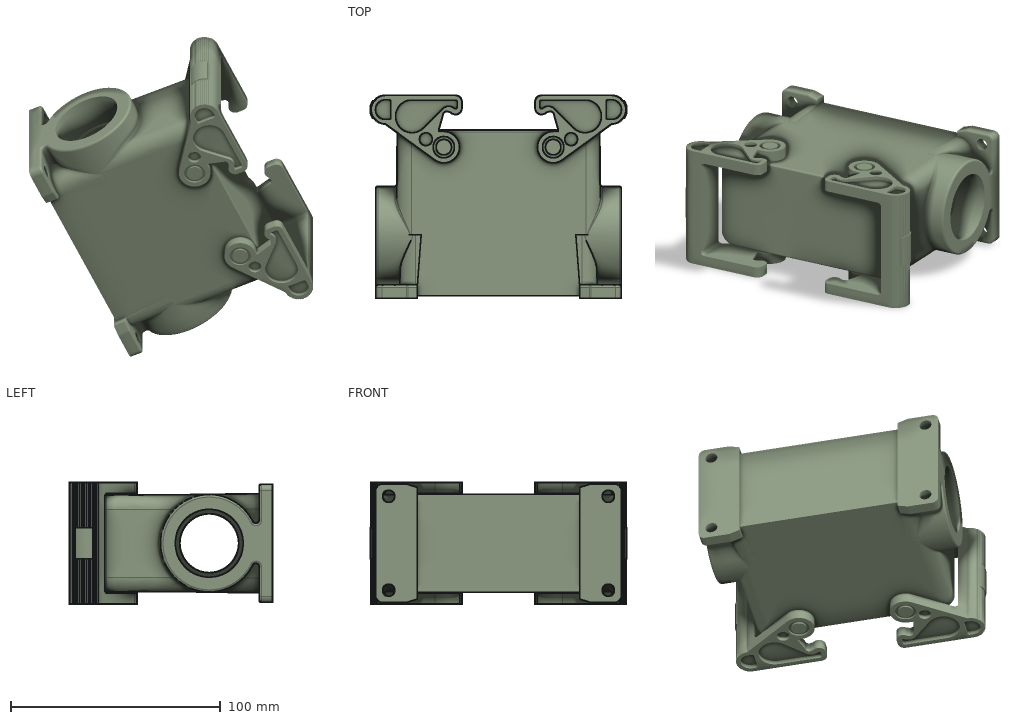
import cadquery as cq
import math


DIAGONAL = math.sqrt(0.5)

BODY_FRONT_Y = 1.2
RIM_Y = 80.3
BODY_HALF_X = 48.8
BODY_HALF_Z = 23.45
BODY_CORNER = 7.2
BODY_DRAFT = 0.3
RIM_ROUND = 0.9

ENTRY_Y = 30.2
ENTRY_FACE_X = 58.6
ENTRY_RADIUS = 23.25
BORE_RADIUS = 16.2
BORE_BOTTOM_X = 43.0
PASSAGE_RADIUS = 14.0
NOTCH_RADIUS = 1.6
OUTER_ROUND = 1.1
ROOT_ROUND = 1.0

FOOT_THICKNESS = 6.4
FOOT_INNER_X = 38.7
FOOT_HALF_Z = 28.2
FOOT_CORNER = 3.0
FOOT_BEVEL_X = 5.0
FOOT_BEVEL_Z = 1.6
FOOT_BEVEL_ROUND = 2.5
HOLE_X = 52.4
HOLE_Z = 22.4
HOLE_DIAMETER = 5.8

POST_OUTER_X = 47.1
POST_HALF_Z = 23.75
POST_DRAFT = 0.7
POST_CORNER = 7.4
POST_TOP_INNER_X = 36.9
MIDDLE_HALF_X = 39.2

LEVER_HALF_Z = 29.0
LEVER_PLATE = 5.2
WINDOW_X = 49.9
WINDOW_CORNER = 2.0
PIVOT_X = 26.1
PIVOT_Y = 72.1
PIVOT_RADIUS = 7.5
PIN_RADIUS = 3.7
PIN_EMBED = 3.0
PIN_RECESS_RADIUS = 5.1
PIN_RECESS_DEPTH = 1.0
GRIP_X = 54.0
GRIP_Y = 90.0
GRIP_RADIUS = 6.9
GRIP_POCKET_RADIUS = 4.7
GRIP_POCKET_INNER = 2.65
GRIP_POCKET_CORNER = 1.0
ROUND_HOLE_X = 34.65
ROUND_HOLE_Y = 75.9
ROUND_HOLE_RADIUS = 3.05
POCKET_DEPTH = 2.2
POCKET_X = 41.3
POCKET_Y = 86.8
POCKET_RADIUS = 7.8
POCKET_SLOPE_LENGTH = 12.2
POCKET_TIP_X = 19.8
POCKET_TIP_Y = 91.2
POCKET_TIP_ROUND = 0.6
POCKET_TIP_END = (-20.9, 90.5)
POCKET_BEND = (-24.2, 91.6)

HOOK_TIP_X = 17.4
HOOK_TIP_ROUND = 3.2
HOOK_NOSE_Y = 90.6
HOOK_NOSE_RADIUS = 2.7
HOOK_NOSE_INNER = (-22.8, 88.6)
THROAT_ROOT = (-28.4, 80.6)
THROAT_SIDE = (-26.5, 87.2)
THROAT_BEND = (-25.8, 88.7)
THROAT_TOP = (-24.3, 89.1)

FLUTE_COUNT = 21
FLUTE_STEP = 7.6
FLUTE_DEPTH = 0.2
FLUTE_FILL = 0.95
PAD_HEIGHT = 0.4
PAD_HALF_Y = 4.2
PAD_HALF_Z = 7.3


def both_sides(solid):
    """The solid together with its mirror image across the YZ plane."""
    return solid.union(solid.mirror("YZ"))


def edges_within(solid, x0, x1, y0, y1):
    """Edges whose centres lie between the given X and Y limits, at any Z."""
    return solid.edges(cq.selectors.BoxSelector((x0, y0, -LEVER_HALF_Z), (x1, y1, LEVER_HALF_Z)))


def block(x0, x1, y0, y1, half_z):
    """A box between the given X and Y limits, centred in Z."""
    return cq.Workplane("XY").box(x1 - x0, y1 - y0, 2 * half_z).translate(((x0 + x1) / 2, (y0 + y1) / 2, 0))


def along_y(y):
    """A sketch plane at the given Y whose normal is +Y."""
    return cq.Workplane(cq.Plane(origin=(0, y, 0), xDir=(1, 0, 0), normal=(0, 1, 0)))


def outward_x(x):
    """A sketch plane at the given X, with local axes Y and Z, whose normal is +X."""
    return cq.Workplane("YZ", origin=(x, 0, 0))


def drafted_block(half_x, half_z, corner, end_y, draft):
    """A round-cornered block that starts at the body front and narrows toward +Y."""
    return (
        along_y(BODY_FRONT_Y)
        .sketch()
        .rect(2 * half_x, 2 * half_z)
        .vertices()
        .fillet(corner)
        .finalize()
        .extrude(end_y - BODY_FRONT_Y, taper=draft)
    )


def make_shell():
    full = drafted_block(BODY_HALF_X, BODY_HALF_Z, BODY_CORNER, RIM_Y, BODY_DRAFT)
    full = full.faces(">Y").edges().fillet(RIM_ROUND)
    upper = full.intersect(block(-BODY_HALF_X, BODY_HALF_X, ENTRY_Y, RIM_Y, BODY_HALF_Z))
    middle = full.intersect(block(-MIDDLE_HALF_X, MIDDLE_HALF_X, BODY_FRONT_Y, ENTRY_Y, BODY_HALF_Z))
    return upper.union(middle)


def make_post():
    outline = [
        (FOOT_INNER_X, BODY_FRONT_Y),
        (POST_OUTER_X, BODY_FRONT_Y),
        (POST_OUTER_X, ENTRY_Y),
        (POST_TOP_INNER_X, ENTRY_Y),
        (FOOT_INNER_X, FOOT_THICKNESS),
    ]
    outline_prism = cq.Workplane("XY").polyline(outline).close().extrude(POST_HALF_Z, both=True)
    return drafted_block(POST_OUTER_X, POST_HALF_Z, POST_CORNER, ENTRY_Y, POST_DRAFT).intersect(outline_prism)


def make_foot():
    outline = [
        (FOOT_INNER_X, FOOT_HALF_Z - FOOT_BEVEL_Z),
        (FOOT_INNER_X + FOOT_BEVEL_X, FOOT_HALF_Z),
        (ENTRY_FACE_X, FOOT_HALF_Z),
        (ENTRY_FACE_X, -FOOT_HALF_Z),
        (FOOT_INNER_X + FOOT_BEVEL_X, -FOOT_HALF_Z),
        (FOOT_INNER_X, -FOOT_HALF_Z + FOOT_BEVEL_Z),
    ]
    foot = along_y(0).polyline(outline).close().extrude(FOOT_THICKNESS)
    foot = foot.faces(">X").edges("|Y").fillet(FOOT_CORNER)
    bevel_x = FOOT_INNER_X + FOOT_BEVEL_X
    x0 = bevel_x - FOOT_BEVEL_ROUND
    x1 = bevel_x + FOOT_BEVEL_ROUND
    bevel_edges = edges_within(foot, x0, x1, 0, FOOT_THICKNESS).edges("|Y")
    return bevel_edges.fillet(FOOT_BEVEL_ROUND)


def make_entry():
    """Cable entry joined to its foot by a neck with rounded notches at both sides."""
    length = ENTRY_FACE_X - FOOT_INNER_X
    notch_y = FOOT_THICKNESS + NOTCH_RADIUS
    reach = ENTRY_RADIUS + NOTCH_RADIUS
    notch_z = math.sqrt(reach**2 - (ENTRY_Y - notch_y) ** 2)
    blend = ENTRY_RADIUS / reach
    tangent_y = ENTRY_Y - (ENTRY_Y - notch_y) * blend
    tangent_z = notch_z * blend
    deepest = NOTCH_RADIUS * DIAGONAL
    neck = (
        outward_x(FOOT_INNER_X)
        .moveTo(FOOT_THICKNESS, notch_z)
        .threePointArc((notch_y - deepest, notch_z - deepest), (tangent_y, tangent_z))
        .lineTo(tangent_y, -tangent_z)
        .threePointArc((notch_y - deepest, -notch_z + deepest), (FOOT_THICKNESS, -notch_z))
        .close()
        .extrude(length)
    )
    entry = outward_x(FOOT_INNER_X).center(ENTRY_Y, 0).circle(ENTRY_RADIUS).extrude(length)
    joined = entry.union(neck).union(make_foot())
    outer_face = joined.faces(">X")
    x1 = ENTRY_FACE_X + OUTER_ROUND
    above_foot_sides = FOOT_THICKNESS - OUTER_ROUND
    return edges_within(outer_face, 0, x1, above_foot_sides, RIM_Y).fillet(OUTER_ROUND)


def round_entry_roots(housing):
    """Fillets where the entries leave the end walls, on the rim side of each entry."""
    end_x = BODY_HALF_X + ROOT_ROUND
    upper_y = ENTRY_Y + ENTRY_RADIUS / 2
    top_y = ENTRY_Y + ENTRY_RADIUS
    for x0, x1 in ((MIDDLE_HALF_X, end_x), (-end_x, -MIDDLE_HALF_X)):
        housing = edges_within(housing, x0, x1, upper_y, top_y).edges("%ELLIPSE").fillet(ROOT_ROUND)
    return housing


def make_housing():
    housing = make_shell().union(both_sides(make_post().union(make_entry())))
    housing = round_entry_roots(housing)
    bore_depth = ENTRY_FACE_X - BORE_BOTTOM_X
    bore = outward_x(BORE_BOTTOM_X).center(ENTRY_Y, 0).circle(BORE_RADIUS).extrude(bore_depth)
    passage = outward_x(0).center(ENTRY_Y, 0).circle(PASSAGE_RADIUS).extrude(ENTRY_FACE_X)
    holes = (
        along_y(0)
        .pushPoints([(HOLE_X, HOLE_Z), (HOLE_X, -HOLE_Z)])
        .circle(HOLE_DIAMETER / 2)
        .extrude(FOOT_THICKNESS)
    )
    return housing.cut(both_sides(bore.union(passage).union(holes)))


def lever_blank():
    """Lever outline on the -X side: grip, hook and pivot eye."""
    grip_bottom = (-GRIP_X, GRIP_Y - GRIP_RADIUS)
    reach_x = -PIVOT_X - grip_bottom[0]
    reach_y = PIVOT_Y - grip_bottom[1]
    tangent_angle = math.atan2(reach_y, reach_x) - math.asin(PIVOT_RADIUS / math.hypot(reach_x, reach_y))
    eye_tangent = (
        -PIVOT_X + PIVOT_RADIUS * math.sin(tangent_angle),
        PIVOT_Y - PIVOT_RADIUS * math.cos(tangent_angle),
    )
    top_y = GRIP_Y + GRIP_RADIUS
    nose_x = -HOOK_TIP_X - HOOK_NOSE_RADIUS
    nose_step = DIAGONAL * HOOK_NOSE_RADIUS
    nose_end = (-HOOK_TIP_X, HOOK_NOSE_Y)
    return (
        cq.Workplane("XY")
        .moveTo(-PIVOT_X, PIVOT_Y + PIVOT_RADIUS)
        .lineTo(THROAT_ROOT[0], PIVOT_Y + PIVOT_RADIUS)
        .lineTo(*THROAT_ROOT)
        .lineTo(*THROAT_SIDE)
        .threePointArc(THROAT_BEND, THROAT_TOP)
        .lineTo(*HOOK_NOSE_INNER)
        .threePointArc((nose_x + nose_step, HOOK_NOSE_Y - nose_step), nose_end)
        .lineTo(-HOOK_TIP_X, top_y - HOOK_TIP_ROUND)
        .tangentArcPoint((-HOOK_TIP_X - HOOK_TIP_ROUND, top_y), relative=False)
        .lineTo(-GRIP_X, top_y)
        .threePointArc((-GRIP_X - GRIP_RADIUS, GRIP_Y), grip_bottom)
        .lineTo(*eye_tangent)
        .threePointArc((-PIVOT_X + PIVOT_RADIUS, PIVOT_Y), (-PIVOT_X, PIVOT_Y + PIVOT_RADIUS))
        .close()
        .extrude(LEVER_HALF_Z, both=True)
    )


def hook_pocket(plane):
    """Large pocket that follows the hook at an even distance from its edge."""
    low = (-POCKET_X + DIAGONAL * POCKET_RADIUS, POCKET_Y - DIAGONAL * POCKET_RADIUS)
    high = (low[0] + DIAGONAL * POCKET_SLOPE_LENGTH, low[1] + DIAGONAL * POCKET_SLOPE_LENGTH)
    top_y = POCKET_Y + POCKET_RADIUS
    return (
        plane.moveTo(-POCKET_X, top_y)
        .lineTo(-POCKET_TIP_X - POCKET_TIP_ROUND, top_y)
        .lineTo(-POCKET_TIP_X, top_y - POCKET_TIP_ROUND)
        .lineTo(-POCKET_TIP_X, POCKET_TIP_Y)
        .tangentArcPoint(POCKET_TIP_END, relative=False)
        .threePointArc(POCKET_BEND, high)
        .lineTo(*low)
        .threePointArc((-POCKET_X - POCKET_RADIUS, POCKET_Y), (-POCKET_X, top_y))
        .close()
        .extrude(POCKET_DEPTH)
    )


def grip_pocket(plane):
    half_y = GRIP_POCKET_RADIUS
    x = -GRIP_X
    return (
        plane.moveTo(x, GRIP_Y + half_y)
        .lineTo(x + GRIP_POCKET_INNER, GRIP_Y + half_y)
        .lineTo(x + GRIP_POCKET_INNER, GRIP_Y - half_y)
        .lineTo(x, GRIP_Y - half_y)
        .threePointArc((x - GRIP_POCKET_RADIUS, GRIP_Y), (x, GRIP_Y + half_y))
        .close()
        .extrude(POCKET_DEPTH)
        .faces(">X")
        .edges("|Z")
        .fillet(GRIP_POCKET_CORNER)
    )


def plate_recesses():
    """Recesses in the outer face of the upper lever plate."""
    plane = cq.Workplane("XY", origin=(0, 0, LEVER_HALF_Z - POCKET_DEPTH))
    round_hole = plane.center(-ROUND_HOLE_X, ROUND_HOLE_Y).circle(ROUND_HOLE_RADIUS).extrude(POCKET_DEPTH)
    pin_ring = (
        cq.Workplane("XY", origin=(-PIVOT_X, PIVOT_Y, LEVER_HALF_Z - PIN_RECESS_DEPTH))
        .circle(PIN_RECESS_RADIUS)
        .circle(PIN_RADIUS)
        .extrude(PIN_RECESS_DEPTH)
    )
    return hook_pocket(plane).union(grip_pocket(plane)).union(round_hole).union(pin_ring)


def grip_flutes():
    """Round cutters whose arcs dip below the grip surface side by side."""
    half_angle = math.radians(FLUTE_STEP * FLUTE_FILL / 2)
    half_width = GRIP_RADIUS * math.sin(half_angle)
    depth = GRIP_RADIUS * math.cos(half_angle) - (GRIP_RADIUS - FLUTE_DEPTH)
    cutter_radius = (half_width**2 + depth**2) / (2 * depth)
    centre_radius = GRIP_RADIUS - FLUTE_DEPTH + cutter_radius
    first_angle = 180 - FLUTE_STEP * (FLUTE_COUNT - 1) / 2
    centres = []
    for index in range(FLUTE_COUNT):
        angle = math.radians(first_angle + index * FLUTE_STEP)
        centres.append((-GRIP_X + centre_radius * math.cos(angle), GRIP_Y + centre_radius * math.sin(angle)))
    return cq.Workplane("XY").pushPoints(centres).circle(cutter_radius).extrude(LEVER_HALF_Z, both=True)


def grip_pad():
    outer_radius = GRIP_RADIUS + PAD_HEIGHT
    sleeve = (
        cq.Workplane("XY")
        .center(-GRIP_X, GRIP_Y)
        .circle(outer_radius)
        .circle(GRIP_RADIUS - 2 * FLUTE_DEPTH)
        .extrude(PAD_HALF_Z, both=True)
    )
    return sleeve.intersect(
        block(-GRIP_X - outer_radius, -GRIP_X, GRIP_Y - PAD_HALF_Y, GRIP_Y + PAD_HALF_Y, PAD_HALF_Z)
    )


def make_lever():
    """Left lever: two side plates joined by the grip, with a pin at each pivot."""
    pin_base_z = BODY_HALF_Z - PIN_EMBED
    plate_inner_z = LEVER_HALF_Z - LEVER_PLATE
    window = block(-WINDOW_X, 0, 0, 2 * GRIP_Y, plate_inner_z).faces("<X").edges("|Y").fillet(WINDOW_CORNER)
    recesses = plate_recesses()
    pin = (
        cq.Workplane("XY", origin=(-PIVOT_X, PIVOT_Y, pin_base_z))
        .circle(PIN_RADIUS)
        .extrude(plate_inner_z - pin_base_z)
    )
    lever = lever_blank().cut(window).cut(recesses).cut(recesses.mirror("XY")).cut(grip_flutes())
    return lever.union(grip_pad()).union(pin).union(pin.mirror("XY"))


result = make_housing().union(both_sides(make_lever()))